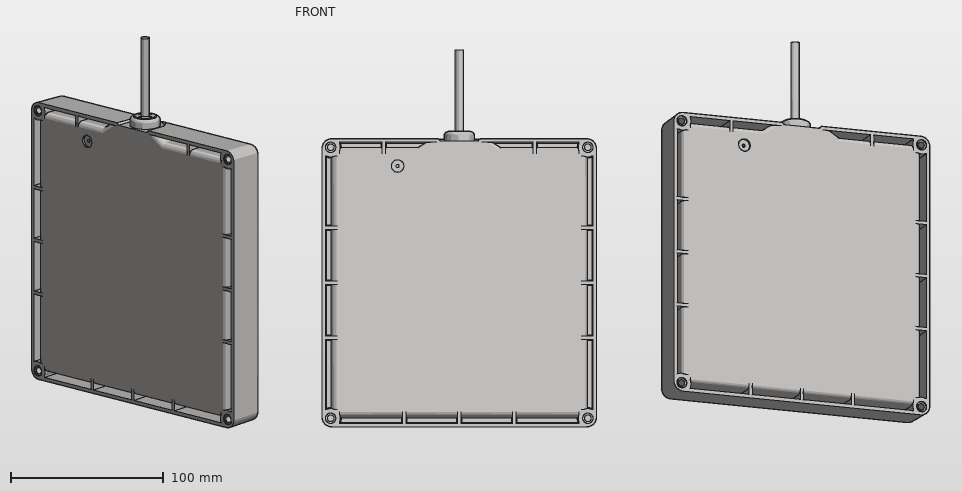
import cadquery as cq
import math

WIDTH = 180.1
HEIGHT = 189.1
DEPTH = 25.77
DRAFT = 1.0
CORNER_RADIUS = 6.6
BACK_EDGE_RADIUS = 3.0
TOP = HEIGHT / 2

LIP = 2.4
POCKET_WIDTH = 7.4
POCKET_DEPTH = 20.0
POCKET_DRAFT = 2.0
BLOCK_DRAFT = 0.5
BLOCK_EDGE_RADIUS = 3.6
RIB_THICKNESS = 2.2
RIB_PITCH = 36.0
TOP_RIB_X = 49.5

SHOULDER_BASE_HALF = 26.0
SHOULDER_TIP_HALF = 14.8

SCREW_INSET = 5.75
BOSS_RADIUS = 6.3
BOSS_HALF_SIDE = 5.8
SCREW_HEAD_RADIUS = 3.4
SCREW_HEAD_DEPTH = 1.0
SCREW_HOLE_RADIUS = 2.2

VENT_X = -40.4
VENT_BELOW_TOP = 18.0
VENT_RADIUS = 4.1
VENT_RECESS_DEPTH = 1.5
VENT_HOLE_RADIUS = 1.0
VENT_HOLE_DEPTH = 3.0

OUTLET_Y = 12.1
SEAT_DEPTH = 1.5
SEAT_RADIUS = 12.5
SEAT_WALL_RUN = 1.4
SEAT_Z = TOP - SEAT_DEPTH

GLAND_RADIUS = 10.0
GLAND_FLANGE_HEIGHT = 3.6
GLAND_ROUND = 2.4
GLAND_LIP_HEIGHT = 0.6
GLAND_LIP_INSET = 0.6
DIMPLE_RADIUS = 0.8
DIMPLE_CIRCLE_RADIUS = 4.8
DIMPLE_DEPTH = 1.0
CABLE_RADIUS = 2.8
CABLE_TOP = 247.23 - HEIGHT / 2

OVERCUT = 1.0


def drafted_box(width, height, depth, draft, center=(0, 0)):
    """Box of the given size at the front face (Y = 0); a positive draft narrows it towards the back."""
    plane = cq.Workplane("XZ", origin=(center[0], 0, center[1]))
    return plane.rect(width, height).extrude(-depth, taper=draft)


def outer_shell():
    box = drafted_box(WIDTH, HEIGHT, DEPTH, DRAFT)
    corners = box.edges("(not <Y) and (not >Y)")
    return corners.fillet(CORNER_RADIUS).faces(">Y").edges().fillet(BACK_EDGE_RADIUS)


def central_block():
    half_width = WIDTH / 2 - LIP - POCKET_WIDTH
    half_height = HEIGHT / 2 - LIP - POCKET_WIDTH
    slope = (SHOULDER_BASE_HALF - SHOULDER_TIP_HALF) / POCKET_WIDTH
    reach = LIP + POCKET_WIDTH
    tip_half = SHOULDER_BASE_HALF - slope * reach
    flare = POCKET_DEPTH * math.tan(math.radians(BLOCK_DRAFT))
    outline = [
        (-half_width, -half_height),
        (half_width, -half_height),
        (half_width, half_height),
        (SHOULDER_BASE_HALF, half_height),
        (tip_half, half_height + reach),
        (-tip_half, half_height + reach),
        (-SHOULDER_BASE_HALF, half_height),
        (-half_width, half_height),
    ]
    block = (
        cq.Workplane("XZ", origin=(0, POCKET_DEPTH, 0))
        .polyline(outline)
        .close()
        .offset2D(BLOCK_EDGE_RADIUS + flare, "intersection")
        .extrude(POCKET_DEPTH, taper=BLOCK_DRAFT)
    )
    return block.faces("<Y").edges().fillet(BLOCK_EDGE_RADIUS)


def screw_centers():
    x = WIDTH / 2 - SCREW_INSET
    z = HEIGHT / 2 - SCREW_INSET
    return [(sx * x, sz * z) for sx in (-1, 1) for sz in (-1, 1)]


def screw_boss(center):
    square = drafted_box(2 * BOSS_HALF_SIDE, 2 * BOSS_HALF_SIDE, POCKET_DEPTH, -POCKET_DRAFT, center)
    round_boss = (
        cq.Workplane("XZ", origin=(center[0], 0, center[1]))
        .circle(BOSS_RADIUS)
        .extrude(-POCKET_DEPTH, taper=-POCKET_DRAFT)
    )
    return square.union(round_boss)


def rib(center, across_x):
    """Rib spanning the pocket, running along X when across_x is true, else along Z."""
    span = 2 * (POCKET_WIDTH + LIP)
    width, height = (span, RIB_THICKNESS) if across_x else (RIB_THICKNESS, span)
    return drafted_box(width, height, POCKET_DEPTH, -POCKET_DRAFT, center)


def rim_pockets():
    cavity = drafted_box(WIDTH - 2 * LIP, HEIGHT - 2 * LIP, POCKET_DEPTH, POCKET_DRAFT)
    cavity = cavity.cut(central_block())
    for center in screw_centers():
        cavity = cavity.cut(screw_boss(center))
    pocket_middle = LIP + POCKET_WIDTH / 2
    side_x = WIDTH / 2 - pocket_middle
    end_z = HEIGHT / 2 - pocket_middle
    for step in (-1, 0, 1):
        for side in (-1, 1):
            cavity = cavity.cut(rib((side * side_x, step * RIB_PITCH), True))
        cavity = cavity.cut(rib((step * RIB_PITCH, -end_z), False))
    for side in (-1, 1):
        cavity = cavity.cut(rib((side * TOP_RIB_X, end_z), False))
    return cavity


def front_hole(center, radius, depth):
    return cq.Workplane("XZ", origin=(center[0], depth, center[1])).circle(radius).extrude(depth)


def screw_hole(center):
    head = front_hole(center, SCREW_HEAD_RADIUS, SCREW_HEAD_DEPTH)
    return head.union(front_hole(center, SCREW_HOLE_RADIUS, POCKET_DEPTH))


def vent():
    center = (VENT_X, TOP - VENT_BELOW_TOP)
    recess = front_hole(center, VENT_RADIUS, VENT_RECESS_DEPTH)
    return recess.union(front_hole(center, VENT_HOLE_RADIUS, VENT_HOLE_DEPTH))


def outlet_seat():
    front_y = -2 * SEAT_WALL_RUN
    slope = math.degrees(math.atan(SEAT_WALL_RUN / SEAT_DEPTH))
    return (
        cq.Workplane("XY", origin=(0, 0, SEAT_Z))
        .moveTo(-SEAT_RADIUS, front_y)
        .lineTo(SEAT_RADIUS, front_y)
        .lineTo(SEAT_RADIUS, OUTLET_Y)
        .threePointArc((0, OUTLET_Y + SEAT_RADIUS), (-SEAT_RADIUS, OUTLET_Y))
        .close()
        .extrude(SEAT_DEPTH + OVERCUT, taper=-slope)
    )


def make_housing():
    body = outer_shell().cut(rim_pockets())
    for center in screw_centers():
        body = body.cut(screw_hole(center))
    return body.cut(vent()).cut(outlet_seat())


def make_gland():
    """Round gland on the seat, with a rounded shoulder, a small lip and a bore for the cable."""
    lip_radius = GLAND_RADIUS - GLAND_ROUND
    shoulder_z = GLAND_FLANGE_HEIGHT + GLAND_ROUND
    top_z = shoulder_z + GLAND_LIP_HEIGHT
    bend = GLAND_ROUND * math.sqrt(0.5)
    profile = (
        cq.Workplane("XZ", origin=(0, OUTLET_Y, SEAT_Z))
        .moveTo(CABLE_RADIUS, 0)
        .lineTo(GLAND_RADIUS, 0)
        .lineTo(GLAND_RADIUS, GLAND_FLANGE_HEIGHT)
        .threePointArc(
            (lip_radius + bend, GLAND_FLANGE_HEIGHT + bend), (lip_radius, shoulder_z)
        )
        .lineTo(lip_radius - GLAND_LIP_INSET, top_z)
        .lineTo(CABLE_RADIUS, top_z)
        .close()
    )
    gland = profile.revolve(360, (0, 0, 0), (0, 1, 0))
    dimples = (
        cq.Workplane("XY", origin=(0, OUTLET_Y, SEAT_Z + top_z - DIMPLE_DEPTH))
        .polarArray(DIMPLE_CIRCLE_RADIUS, 0, 360, 4)
        .circle(DIMPLE_RADIUS)
        .extrude(DIMPLE_DEPTH)
    )
    return gland.cut(dimples)


def make_cable():
    plane = cq.Workplane("XY", origin=(0, OUTLET_Y, SEAT_Z))
    return plane.circle(CABLE_RADIUS).extrude(CABLE_TOP - SEAT_Z)


housing = make_housing()
gland = make_gland()
cable = make_cable()

result = cq.Compound.makeCompound([housing.val(), gland.val(), cable.val()])